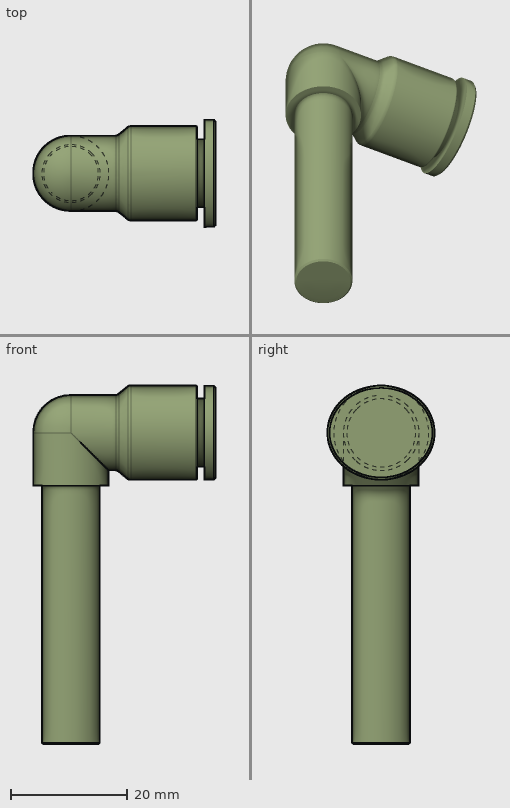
import cadquery as cq


elbow_radius = 6.5
shoulder_z = -9.1

stem_radius = 5.0
stem_end_z = -53.65
stem_chamfer = 0.3

body_radius = 8.15
taper_start_x = 8.0
taper_end_x = 10.0
body_end_x = 21.75
taper_blend_radius = 0.8
body_end_fillet = 0.3

sleeve_radius = 5.9
flange_start_x = 23.0
flange_end_x = 25.0
flange_half_width = 9.25
flange_half_height = 8.1
flange_chamfer = 0.4


def cylinder_along_x(radius, start_x, end_x):
    return cq.Workplane("YZ").workplane(offset=start_x).circle(radius).extrude(end_x - start_x)


def cylinder_along_z(radius, start_z, end_z):
    return cq.Workplane("XY").workplane(offset=start_z).circle(radius).extrude(end_z - start_z)


def make_elbow():
    """Two equal cylinders mitred at a right angle, with a spherical outer corner."""
    dome = cq.Workplane("XY").sphere(elbow_radius)
    leg = cylinder_along_z(elbow_radius, shoulder_z, 0)
    return dome.union(leg)


def make_stem():
    stem = cylinder_along_z(stem_radius, stem_end_z, shoulder_z)
    return stem.faces("<Z").chamfer(stem_chamfer)


def make_socket():
    """Neck, taper and body turned about the X axis, with the taper blended at both ends."""
    socket = (
        cq.Workplane("XZ")
        .moveTo(0, 0)
        .lineTo(0, elbow_radius)
        .lineTo(taper_start_x, elbow_radius)
        .lineTo(taper_end_x, body_radius)
        .lineTo(body_end_x, body_radius)
        .lineTo(body_end_x, 0)
        .close()
        .revolve(360, (0, 0, 0), (1, 0, 0))
    )
    taper_edges = cq.selectors.BoxSelector(
        (taper_start_x - taper_blend_radius, -body_radius, -body_radius),
        (taper_end_x + taper_blend_radius, body_radius, body_radius),
    )
    socket = socket.edges("%CIRCLE").edges(taper_edges).fillet(taper_blend_radius)
    return socket.faces(">X").edges().fillet(body_end_fillet)


def make_sleeve():
    """Round sleeve joining the body to an oval flange that is wider along Y."""
    sleeve = cylinder_along_x(sleeve_radius, body_end_x, flange_start_x)
    flange = (
        cq.Workplane("YZ")
        .workplane(offset=flange_start_x)
        .ellipse(flange_half_width, flange_half_height)
        .extrude(flange_end_x - flange_start_x)
        .faces(">X")
        .chamfer(flange_chamfer)
    )
    return sleeve.union(flange)


result = make_elbow().union(make_socket()).union(make_stem()).union(make_sleeve())